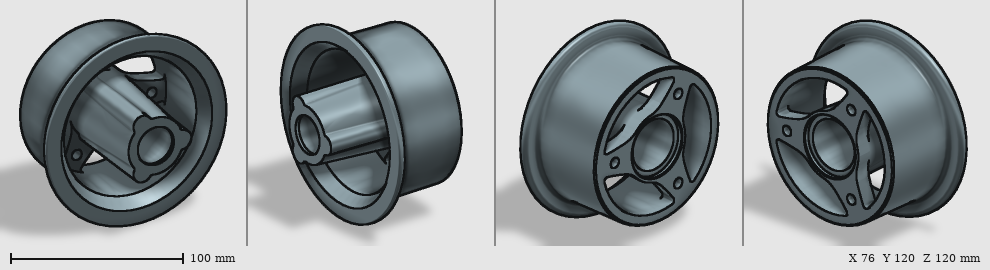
import cadquery as cq
import math

length = 76.0

flange_radius = 60.0
flange_back = 52.9
flange_thickness = 5.0
flange_front_fillet = 3.0
flange_back_fillet = 1.1

barrel_front_radius = 48.8
barrel_root_radius = 49.7
barrel_root_fillet = 2.9
barrel_front_chamfer = 1.0

inner_front_radius = 42.4
mouth_radius = 50.0
draft_angle = 2.0
draft_slope = math.tan(math.radians(draft_angle))

arm_count = 3
plate_thickness = 10.9
plate_radius = (inner_front_radius + barrel_front_radius) / 2
window_hub_radius = 22.1
window_waist = 20.4
window_web_radius = 18.0
window_web_end_z = 16.3
window_side_end_y = 29.3
window_side_end_z = 37.2
window_tip_fillet = 2.2

hub_front_radius = window_hub_radius - plate_thickness * draft_slope
hub_end_radius = 18.1
lobe_offset = 17.5
lobe_end_radius = 6.1
lobe_draft_angle = 0.4
lobe_blend_fillet = 1.8

seat_radius = 19.5
seat_depth = 3.4
seat_chamfer = 0.5
bore_front_radius = 16.1
bore_back_radius = 13.1
lip_radius = 12.0
lip_thickness = 2.4

bolt_hole_radius = 3.2
bolt_circle_radius = 33.1


def revolve_about_x(profile):
    """Close an (x, radius) profile and revolve it a full turn about the X axis."""
    return profile.close().revolve(360, (0, 0, 0), (1, 0, 0))


def repeat_about_x(body, first_angle):
    """Copies of a body, one per arm, starting first_angle degrees from where it was made."""
    step = 360 / arm_count
    return [body.rotate((0, 0, 0), (1, 0, 0), first_angle + i * step) for i in range(arm_count)]


def make_barrel():
    """Open barrel with its flange."""
    flange_front = flange_back - flange_thickness
    root_x = flange_front - barrel_root_fillet
    return revolve_about_x(
        cq.Workplane("XZ")
        .moveTo(0, inner_front_radius)
        .lineTo(0, barrel_front_radius - barrel_front_chamfer)
        .lineTo(barrel_front_chamfer, barrel_front_radius)
        .lineTo(root_x, barrel_root_radius)
        .radiusArc((flange_front, barrel_root_radius + barrel_root_fillet), -barrel_root_fillet)
        .lineTo(flange_front, flange_radius - flange_front_fillet)
        .radiusArc((flange_front + flange_front_fillet, flange_radius), flange_front_fillet)
        .lineTo(flange_back - flange_back_fillet, flange_radius)
        .radiusArc((flange_back, flange_radius - flange_back_fillet), flange_back_fillet)
        .lineTo(flange_back, mouth_radius)
        .lineTo(root_x, inner_front_radius + root_x * draft_slope)
    )


def make_window():
    """Drafted window centred on +Y, running out past the edge of the spoke plate."""
    centre_distance = window_hub_radius + window_web_radius
    web_y = window_waist + window_web_radius
    web_z = math.sqrt(centre_distance**2 - web_y**2)
    hub_share = window_hub_radius / centre_distance
    web_end_y = web_y - math.sqrt(window_web_radius**2 - (window_web_end_z - web_z) ** 2)
    return (
        cq.Workplane("YZ")
        .moveTo(window_hub_radius, 0)
        .radiusArc((web_y * hub_share, web_z * hub_share), -window_hub_radius)
        .threePointArc((window_waist, web_z), (web_end_y, window_web_end_z))
        .tangentArcPoint((window_side_end_y, window_side_end_z), relative=False)
        .lineTo(plate_radius, window_side_end_z)
        .lineTo(plate_radius, 0)
        .mirrorX()
        .extrude(plate_thickness, taper=-draft_angle)
    )


def make_spoke_plate():
    """Disc with the windows cut away between the arms; its edge sits inside the barrel wall."""
    plate = cq.Workplane("YZ").circle(plate_radius).extrude(plate_thickness)
    for window in repeat_about_x(make_window(), 180 / arm_count):
        plate = plate.cut(window)
    return plate


def round_window_tips(body):
    """Round the corners where the arms meet the inside of the barrel."""
    return body.edges("%HYPERBOLA").fillet(window_tip_fillet)


def make_hub():
    """Tapered hub whose lobes blend into it along their whole length."""
    hub = revolve_about_x(
        cq.Workplane("XZ")
        .moveTo(plate_thickness, 0)
        .lineTo(plate_thickness, hub_front_radius)
        .lineTo(length, hub_end_radius)
        .lineTo(length, 0)
    )
    lobe = (
        cq.Workplane("YZ", origin=(length, 0, 0))
        .center(lobe_offset, 0)
        .circle(lobe_end_radius)
        .extrude(plate_thickness - length, taper=-lobe_draft_angle)
    )
    for copy in repeat_about_x(lobe, 0):
        hub = hub.union(copy)
    return hub.edges("%BSPLINE").fillet(lobe_blend_fillet)


def make_bore():
    """Chamfered bearing seat, tapered bore and the narrower lip at the back end."""
    lip_front = length - lip_thickness
    return revolve_about_x(
        cq.Workplane("XZ")
        .lineTo(0, seat_radius + seat_chamfer)
        .lineTo(seat_chamfer, seat_radius)
        .lineTo(seat_depth, seat_radius)
        .lineTo(seat_depth, bore_front_radius)
        .lineTo(lip_front, bore_back_radius)
        .lineTo(lip_front, lip_radius)
        .lineTo(length, lip_radius)
        .lineTo(length, 0)
    )


def make_bolt_hole():
    """Bolt hole through the arm on +Y."""
    return (
        cq.Workplane("YZ")
        .center(bolt_circle_radius, 0)
        .circle(bolt_hole_radius)
        .extrude(plate_thickness)
    )


result = round_window_tips(make_barrel().union(make_spoke_plate()))
result = result.union(make_hub()).cut(make_bore())
for hole in repeat_about_x(make_bolt_hole(), 0):
    result = result.cut(hole)